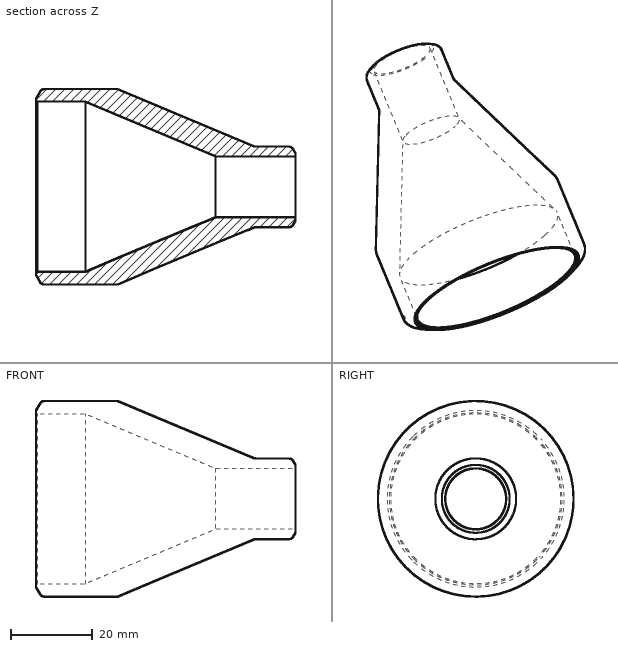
import cadquery as cq
import math

length = 64.0
wide_radius = 48.3 / 2
neck_radius = 20.0 / 2
cone_start = 20.15
neck_length = 10.05
cone_end = length - neck_length

wide_bore_radius = 41.9 / 2
neck_bore_radius = 15.0 / 2
wide_bore_depth = 12.15
cone_slope = (wide_radius - neck_radius) / (cone_end - cone_start)
inner_cone_end = wide_bore_depth + (wide_bore_radius - neck_bore_radius) / cone_slope
bore_lip_chamfer = 0.3

wide_face_radius = 21.8
neck_face_radius = 8.4
bevel_angle = math.radians(60)
rim_round = 1.2
cone_round = 1.0


def bevel_length(outer_radius, face_radius):
    """Axial length of the bevel before its outer edge is rounded."""
    return (outer_radius - face_radius) / math.tan(bevel_angle)


def rounded_outer_body(wide_bevel, neck_bevel):
    """Revolve the outside shape and round its bevel and cone edges."""
    profile = (
        cq.Workplane("XY")
        .polyline([
            (0, 0),
            (0, wide_face_radius),
            (wide_bevel, wide_radius),
            (cone_start, wide_radius),
            (cone_end, neck_radius),
            (length - neck_bevel, neck_radius),
            (length, neck_face_radius),
            (length, 0),
        ])
        .close()
    )
    body = profile.revolve(360, (0, 0, 0), (1, 0, 0))
    body = round_circle(body, wide_bevel, rim_round)
    body = round_circle(body, cone_start, cone_round)
    body = round_circle(body, cone_end, cone_round)
    return round_circle(body, length - neck_bevel, rim_round)


def round_circle(body, x, radius):
    """Fillet the circular edge that lies in the plane at the given X."""
    margin = 0.03
    reach = 2 * wide_radius
    selector = cq.selectors.BoxSelector(
        (x - margin, -reach, -reach), (x + margin, reach, reach), boundingbox=True
    )
    return body.edges(selector).fillet(radius)


def bore():
    """Solid to remove: lip chamfer, wide bore, inner cone and neck bore."""
    return (
        cq.Workplane("XY")
        .polyline([
            (0, 0),
            (0, wide_bore_radius + bore_lip_chamfer),
            (bore_lip_chamfer, wide_bore_radius),
            (wide_bore_depth, wide_bore_radius),
            (inner_cone_end, neck_bore_radius),
            (length, neck_bore_radius),
            (length, 0),
        ])
        .close()
        .revolve(360, (0, 0, 0), (1, 0, 0))
    )


outer_body = rounded_outer_body(
    bevel_length(wide_radius, wide_face_radius),
    bevel_length(neck_radius, neck_face_radius),
)
result = outer_body.cut(bore())